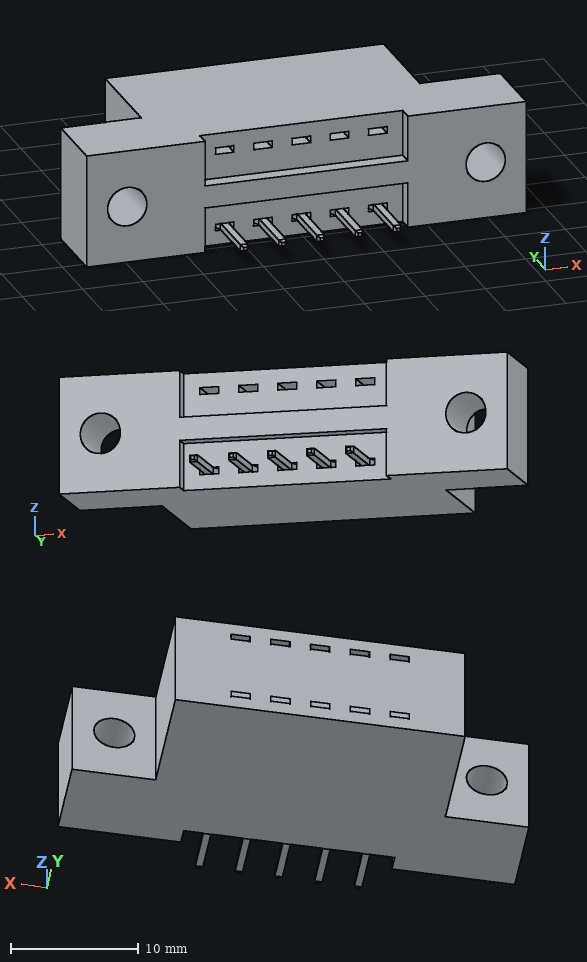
import cadquery as cq

FLANGE_WIDTH = 36.45
FLANGE_DEPTH = 6.38
HEIGHT = 9.4
BLOCK_WIDTH = 23.1
HOUSING_DEPTH = 15.27

HOLE_DIAMETER = 3.25
HOLE_SPACING = 29.7

POCKET_WIDTH = 16.8
POCKET_DEPTH = 1.28
BAR_HEIGHT = 1.85

CONTACT_COUNT = 5
CONTACT_PITCH = 3.17
SLOT_WIDTH = 1.53
SLOT_HEIGHT = 0.55
SLOT_EDGE_DISTANCE = 1.2

PIN_REACH = 3.8
TAIL_WIDTH = 0.62
TIP_LENGTH = 0.33
TIP_WIDTH = 0.3
TIP_HEIGHT = 0.3
SHOULDER_RECESS = 0.15
SHOULDER_LENGTH = 1.0

lower_slot_z = SLOT_EDGE_DISTANCE + SLOT_HEIGHT / 2
upper_slot_z = HEIGHT - lower_slot_z
pocket_height = (HEIGHT - BAR_HEIGHT) / 2
row_start = -CONTACT_PITCH * (CONTACT_COUNT - 1) / 2
contact_positions = [row_start + i * CONTACT_PITCH for i in range(CONTACT_COUNT)]


def front_block(width, depth, height, z_bottom):
    """Box centred on X that runs from the front face towards +Y."""
    return cq.Workplane("XY").box(width, depth, height, centered=(True, False, False)).translate(
        (0, 0, z_bottom)
    )


def make_housing():
    flange = front_block(FLANGE_WIDTH, FLANGE_DEPTH, HEIGHT, 0)
    housing = flange.union(front_block(BLOCK_WIDTH, HOUSING_DEPTH, HEIGHT, 0))

    for side in (-1, 1):
        hole = (
            cq.Workplane("XZ")
            .center(side * HOLE_SPACING / 2, HEIGHT / 2)
            .circle(HOLE_DIAMETER / 2)
            .extrude(-FLANGE_DEPTH)
        )
        housing = housing.cut(hole)

    for pocket_bottom in (0, HEIGHT - pocket_height):
        housing = housing.cut(front_block(POCKET_WIDTH, POCKET_DEPTH, pocket_height, pocket_bottom))

    for slot_z in (lower_slot_z, upper_slot_z):
        slot = front_block(SLOT_WIDTH, HOUSING_DEPTH, SLOT_HEIGHT, slot_z - SLOT_HEIGHT / 2)
        for x in contact_positions:
            housing = housing.cut(slot.translate((x, 0, 0)))
    return housing


def make_pin(x):
    tip_base_y = TIP_LENGTH - PIN_REACH
    shoulder_y = POCKET_DEPTH + SHOULDER_RECESS
    blade_y = shoulder_y + SHOULDER_LENGTH
    right_side = [
        (TAIL_WIDTH / 2, tip_base_y),
        (TAIL_WIDTH / 2, shoulder_y),
        (SLOT_WIDTH / 2, blade_y),
        (SLOT_WIDTH / 2, HOUSING_DEPTH),
    ]
    left_side = [(-px, py) for px, py in reversed(right_side)]
    body = (
        cq.Workplane("XY")
        .polyline(right_side + left_side)
        .close()
        .extrude(SLOT_HEIGHT)
        .translate((0, 0, -SLOT_HEIGHT / 2))
    )
    tip = (
        cq.Workplane("XZ", origin=(0, tip_base_y, 0))
        .rect(TAIL_WIDTH, SLOT_HEIGHT)
        .workplane(offset=TIP_LENGTH)
        .rect(TIP_WIDTH, TIP_HEIGHT)
        .loft(ruled=True)
    )
    return body.union(tip).translate((x, 0, lower_slot_z))


housing = make_housing()
pins = [make_pin(x) for x in contact_positions]

result = cq.Compound.makeCompound([housing.val(), *[pin.val() for pin in pins]])